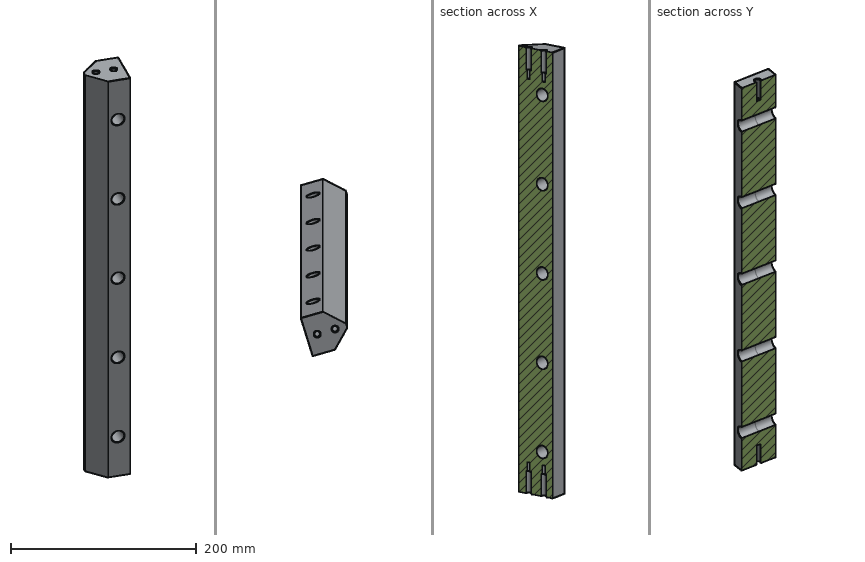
import cadquery as cq

width = 45.0
depth = 45.0
length = 500.0

nose_width = 5.0
flank_run = (width - nose_width) / 2
back_y = depth / 2
nose_y = -depth / 2
shoulder_y = nose_y + flank_run

edge_chamfer = 0.5

cross_hole_diameter = 14.0
cross_hole_count = 5
cross_hole_pitch = length / cross_hole_count
cross_hole_y = back_y - 14.0

end_hole_diameter = 6.0
end_hole_depth = 25.0
countersink_diameter = 8.0
countersink_depth = (countersink_diameter - end_hole_diameter) / 2
pilot_diameter = 3.0
pilot_depth = 10.0
rear_end_hole_y = back_y - 12.0
end_hole_spacing = 20.0


def make_bar():
    """Pointed bar centred on the origin, with its back and side faces chamfered."""
    profile = [
        (-width / 2, back_y),
        (-width / 2, shoulder_y),
        (-nose_width / 2, nose_y),
        (nose_width / 2, nose_y),
        (width / 2, shoulder_y),
        (width / 2, back_y),
    ]
    base = cq.Workplane("XY").workplane(offset=-length / 2)
    bar = base.polyline(profile).close().extrude(length)
    bordering_edges = bar.faces(">Y or >X or <X").edges(">Y or >Z or <Z")
    return bordering_edges.chamfer(edge_chamfer)


def cut_cross_holes(bar):
    """Row of through holes along X, chamfered at both mouths."""
    first_z = -cross_hole_pitch * (cross_hole_count - 1) / 2
    centres = [(cross_hole_y, first_z + i * cross_hole_pitch) for i in range(cross_hole_count)]
    plane = cq.Workplane("YZ").pushPoints(centres)
    holes = plane.circle(cross_hole_diameter / 2).extrude(width / 2, both=True)
    drilled = bar.cut(holes)
    return drilled.faces("<X or >X").edges("%CIRCLE").chamfer(edge_chamfer)


def make_end_hole(y):
    """Stepped hole shape sunk into the top end at the given Y."""
    profile = [
        (0, 0),
        (countersink_diameter / 2, 0),
        (end_hole_diameter / 2, -countersink_depth),
        (end_hole_diameter / 2, -end_hole_depth),
        (pilot_diameter / 2, -end_hole_depth),
        (pilot_diameter / 2, -end_hole_depth - pilot_depth),
        (0, -end_hole_depth - pilot_depth),
    ]
    section = cq.Workplane("XZ").polyline(profile).close()
    hole = section.revolve(360, (0, 0), (0, 1))
    return hole.translate((0, y, length / 2))


def cut_end_holes(bar):
    """Pair of stepped holes in the top end, mirrored into the bottom end."""
    for y in (rear_end_hole_y, rear_end_hole_y - end_hole_spacing):
        hole = make_end_hole(y)
        bar = bar.cut(hole).cut(hole.mirror("XY"))
    return bar


result = cut_end_holes(cut_cross_holes(make_bar()))